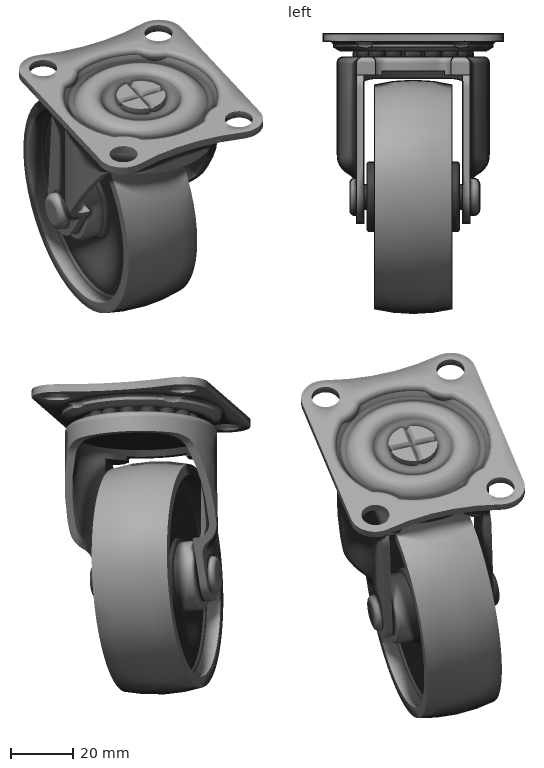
import cadquery as cq
import math

SHEET = 2.4

WHEEL_RADIUS = 37.5
WHEEL_EDGE_RADIUS = 36.0
WHEEL_WIDTH = 25.0
WHEEL_TRAIL = 21.0
RIM_RADIUS = 32.5
RECESS_FILLET = 0.9
RECESS_DEPTH = 5.4
HUB_RADIUS = 11.2
HUB_WIDTH = 29.8
HUB_ROOT_FILLET = 1.3
HUB_EDGE_ROUND = 1.0
AXLE_RADIUS = 4.0
AXLE_HEAD_RADIUS = 6.0
FRONT_HEAD_HEIGHT = 3.15
FRONT_HEAD_ROUND = 2.1
BACK_HEAD_HEIGHT = 2.15
BACK_HEAD_ROUND = 1.7
AXLE_Z = WHEEL_RADIUS

TOP_Z = 90.0
PLATE_LENGTH = 70.0
PLATE_WIDTH = 58.0
PLATE_THICKNESS = 2.5
PLATE_BOTTOM_Z = TOP_Z - PLATE_THICKNESS
PLATE_CORNER_RADIUS = 8.0
WAIST_DEPTH = 2.9
BOLT_HOLE_DIAMETER = 9.0
BOLT_X = 27.5
BOLT_Y = 21.0
DISH_RADIUS = 26.5
DISH_DEPTH = 3.15
RIDGE_DROP = 0.4
GROOVE_OUTER_RADIUS = 23.3
GROOVE_INNER_RADIUS = 21.7
RACE_OUTER_RADIUS = 19.1
RACE_INNER_RADIUS = 12.85
RACE_SHOULDER = 0.8
CREST_OUTER_RADIUS = 16.5
CREST_INNER_RADIUS = 15.4
RACE_OUTER_BEND = (1.2, 0.2)
RACE_INNER_BEND = (1.6, 0.6)
FLOOR_BEND = (0.8, 0.2)
BOSS_BEVEL = 1.4
FLOOR_RADIUS = 11.4
FLOOR_DEPTH = 2.8
BOLT_CLEARANCE_RADIUS = 9.5
DISH_CORNER_ROUND = 2.5
RIM_ROUND = 1.8
RIM_LAND = 0.05
RIM_STEP = 0.8

PIN_HEAD_RADIUS = 7.85
PIN_HEAD_HEIGHT = 2.3
PIN_SHANK_RADIUS = 5.0
GROOVE_WIDTH = 2.4
GROOVE_DEPTH = 1.2
NOTCH_DEPTH = 1.0
NOTCH_ROUND = 1.5

FORK_TOP_Z = 82.5
DRUM_RADIUS = 24.5
LEG_HALF_WIDTH = 18.25
LEG_TOP_X = -25.2
LEG_END_RADIUS = 8.5
LEG_SLOPE = math.radians(56.5)
SKIRT_BOTTOM_Z = 75.6
SKIRT_BLEND_RADIUS = 9.0
LEG_SHOULDER_Z = 76.6
LEG_NECK_X = -26.7
LEG_NECK_Z = 71.8
LEG_NECK_BEND = (-26.2, 74.6)
LEG_BLEND_RADIUS = 5.0
BLOCK_END_X = 8.0
CROWN_ROUND = 2.0
BULGE_END_Z = 50.3
BULGE_ROUND = 6.5
TAB_INNER_Y = 12.4
TAB_BLEND_RADIUS = 3.5
TAB_BOTTOM_Z = 76.6
LIP_BOTTOM_Z = 77.9
LIP_HALF_WIDTH = 10.0
BALL_COUNT = 16
BALL_RADIUS = 2.75
BALL_CIRCLE_RADIUS = 16.6
BALL_Z = 83.35


def cylinder_y(radius, y_start, y_end):
    """Cylinder on the wheel axis between two Y positions."""
    plane = cq.Plane((-WHEEL_TRAIL, y_start, AXLE_Z), xDir=(1, 0, 0), normal=(0, 1, 0))
    return cq.Workplane(plane).circle(radius).extrude(y_end - y_start)


def spin(profile):
    """Revolve a closed radius-height profile about the swivel axis."""
    return profile.close().revolve(360, (0, 0, 0), (0, 1, 0))


def box_between(x_range, half_width, z_range):
    """Box centred on y = 0 that spans the given X and Z ranges."""
    length = x_range[1] - x_range[0]
    height = z_range[1] - z_range[0]
    corner = (x_range[0], -half_width, z_range[0])
    return cq.Workplane().box(length, 2 * half_width, height, centered=False).translate(corner)


def plate_blank():
    """Flat plate with round corners and inward curved short sides."""
    half_length = PLATE_LENGTH / 2
    half_width = PLATE_WIDTH / 2
    corner_x = half_length - PLATE_CORNER_RADIUS
    corner_y = half_width - PLATE_CORNER_RADIUS
    waist_x = half_length - WAIST_DEPTH
    offset = waist_x - corner_x
    waist_radius = (offset**2 + corner_y**2 - PLATE_CORNER_RADIUS**2) / (2 * (PLATE_CORNER_RADIUS - offset))
    share = PLATE_CORNER_RADIUS / (waist_radius + PLATE_CORNER_RADIUS)
    join_x = corner_x + share * (waist_x + waist_radius - corner_x)
    join_y = corner_y * (1 - share)
    outline = (
        cq.Workplane("XY", origin=(0, 0, PLATE_BOTTOM_Z))
        .moveTo(-corner_x, half_width)
        .lineTo(corner_x, half_width)
        .radiusArc((join_x, join_y), PLATE_CORNER_RADIUS)
        .threePointArc((waist_x, 0), (join_x, -join_y))
        .radiusArc((corner_x, -half_width), PLATE_CORNER_RADIUS)
        .lineTo(-corner_x, -half_width)
        .radiusArc((-join_x, -join_y), PLATE_CORNER_RADIUS)
        .threePointArc((-waist_x, 0), (-join_x, join_y))
        .radiusArc((-corner_x, half_width), PLATE_CORNER_RADIUS)
        .close()
    )
    return outline.extrude(PLATE_THICKNESS)


def bolt_points():
    """Centres of the four bolt holes."""
    return [(sx * BOLT_X, sy * BOLT_Y) for sx in (-1, 1) for sy in (-1, 1)]


def dish_column(inset):
    """Column shaped like the dish rim, hollowed around each bolt hole, moved inwards by inset."""
    base = cq.Workplane("XY", origin=(0, 0, PLATE_BOTTOM_Z - DISH_DEPTH))
    height = PLATE_THICKNESS + DISH_DEPTH
    hollows = base.pushPoints(bolt_points()).circle(BOLT_CLEARANCE_RADIUS + inset).extrude(height)
    column = base.circle(DISH_RADIUS - inset).extrude(height).cut(hollows)
    return column.edges("|Z").fillet(DISH_CORNER_ROUND)


def dish_body(top_z, wall_points):
    """Pressed dish filled up to top_z; wall_points lead down from its rim to the groove."""
    groove_z = top_z - DISH_DEPTH
    floor_z = top_z - FLOOR_DEPTH
    ridge_z = top_z - RIDGE_DROP
    outer_hollow = (RACE_OUTER_RADIUS - RACE_OUTER_BEND[0], ridge_z - RACE_OUTER_BEND[1])
    inner_hollow = (CREST_INNER_RADIUS - RACE_INNER_BEND[0], ridge_z - RACE_INNER_BEND[1])
    floor_hollow = (FLOOR_RADIUS + FLOOR_BEND[0], floor_z + FLOOR_BEND[1])
    profile = cq.Workplane("XZ").moveTo(0, top_z).lineTo(DISH_RADIUS, top_z)
    for point in wall_points:
        profile = profile.lineTo(*point)
    profile = (
        profile.lineTo(GROOVE_OUTER_RADIUS, groove_z)
        .lineTo(GROOVE_INNER_RADIUS, groove_z)
        .lineTo(RACE_OUTER_RADIUS, ridge_z - RACE_SHOULDER)
        .threePointArc(outer_hollow, (CREST_OUTER_RADIUS, ridge_z))
        .lineTo(CREST_INNER_RADIUS, ridge_z)
        .threePointArc(inner_hollow, (RACE_INNER_RADIUS, floor_z + RACE_SHOULDER))
        .threePointArc(floor_hollow, (FLOOR_RADIUS, floor_z))
        .lineTo(0, floor_z)
    )
    return spin(profile)


def dish_boss():
    """Underside of the dish, bevelled at the plate and eased into the groove."""
    wall_radius = DISH_RADIUS - RIM_STEP
    groove_z = PLATE_BOTTOM_Z - DISH_DEPTH
    wall = [
        (wall_radius, PLATE_BOTTOM_Z - RIM_STEP),
        (wall_radius, groove_z + BOSS_BEVEL),
        (GROOVE_OUTER_RADIUS + BOSS_BEVEL / 2, groove_z + BOSS_BEVEL / 4),
    ]
    return dish_body(PLATE_BOTTOM_Z, wall).intersect(dish_column(0))


def dish_recess():
    """Hollow of the dish with a conical wall, still without the rounded rim."""
    wall_radius = DISH_RADIUS - RIM_ROUND
    wall = [(wall_radius, TOP_Z), (wall_radius, TOP_Z - RIM_ROUND - RIM_LAND)]
    return dish_body(TOP_Z, wall).intersect(dish_column(RIM_ROUND))


def mounting_plate():
    """Plate with the pressed dish, bolt holes and the kingpin hole."""
    bolt_holes = (
        cq.Workplane("XY", origin=(0, 0, PLATE_BOTTOM_Z))
        .pushPoints(bolt_points())
        .circle(BOLT_HOLE_DIAMETER / 2)
        .extrude(PLATE_THICKNESS)
    )
    pin_hole = cq.Workplane().circle(PIN_SHANK_RADIUS).extrude(TOP_Z)
    plate = plate_blank().union(dish_boss()).cut(dish_recess())
    above_ridge_z = TOP_Z - RIDGE_DROP / 2
    rim_edges = cq.selectors.BoxSelector(
        (-DISH_RADIUS, -DISH_RADIUS, above_ridge_z), (DISH_RADIUS, DISH_RADIUS, TOP_Z + RIDGE_DROP)
    )
    plate = plate.edges(rim_edges).fillet(RIM_ROUND)
    return plate.cut(bolt_holes).cut(pin_hole)


def kingpin():
    """Rivet with a four-lobed head and a crossed pair of V grooves."""
    seat_z = TOP_Z - FLOOR_DEPTH
    head_top_z = seat_z + PIN_HEAD_HEIGHT
    head = cq.Workplane("XY", origin=(0, 0, seat_z)).circle(PIN_HEAD_RADIUS).extrude(PIN_HEAD_HEIGHT)
    notch_side = 2 * NOTCH_DEPTH / math.sqrt(2)
    for angle in range(0, 360, 90):
        notch = (
            cq.Workplane("XY", origin=(0, 0, seat_z))
            .rect(notch_side, notch_side)
            .extrude(PIN_HEAD_HEIGHT)
            .rotate((0, 0, 0), (0, 0, 1), 45)
            .translate((PIN_HEAD_RADIUS, 0, 0))
            .rotate((0, 0, 0), (0, 0, 1), angle)
        )
        head = head.cut(notch)
    lobe_corners = head.edges("|Z").filter(lambda edge: abs(edge.Center().x * edge.Center().y) > NOTCH_DEPTH)
    head = lobe_corners.fillet(NOTCH_ROUND)
    for angle in (0, 90):
        groove = (
            cq.Workplane("XZ", origin=(0, PIN_HEAD_RADIUS, head_top_z))
            .moveTo(-GROOVE_WIDTH / 2, 0)
            .lineTo(0, -GROOVE_DEPTH)
            .lineTo(GROOVE_WIDTH / 2, 0)
            .close()
            .extrude(2 * PIN_HEAD_RADIUS)
            .rotate((0, 0, 0), (0, 0, 1), angle)
        )
        head = head.cut(groove)
    shank_bottom_z = FORK_TOP_Z - SHEET
    shank = (
        cq.Workplane("XY", origin=(0, 0, shank_bottom_z))
        .circle(PIN_SHANK_RADIUS)
        .extrude(seat_z - shank_bottom_z)
    )
    return head.union(shank)


def drum(wall):
    """Round crown with its closing-in lower end, offset inwards by wall."""
    radius = DRUM_RADIUS - wall
    round_radius = BULGE_ROUND - wall
    bottom_z = BULGE_END_Z - round_radius
    profile = (
        cq.Workplane("XZ")
        .moveTo(0, FORK_TOP_Z - wall)
        .lineTo(radius, FORK_TOP_Z - wall)
        .lineTo(radius, BULGE_END_Z)
        .radiusArc((radius - round_radius, bottom_z), round_radius)
        .lineTo(0, bottom_z)
    )
    return spin(profile)


def side_outline():
    """Side shape of the fork: round leg ends, sloping edge, skirt and stepped rear edge."""
    sin_slope = math.sin(LEG_SLOPE)
    cos_slope = math.cos(LEG_SLOPE)
    tangent_x = -WHEEL_TRAIL + LEG_END_RADIUS * sin_slope
    tangent_z = AXLE_Z - LEG_END_RADIUS * cos_slope
    meet_x = tangent_x + (SKIRT_BOTTOM_Z - tangent_z) / math.tan(LEG_SLOPE)
    blend = SKIRT_BLEND_RADIUS * math.tan(LEG_SLOPE / 2)
    rear_x = -WHEEL_TRAIL - LEG_END_RADIUS
    return (
        cq.Workplane("XZ", origin=(0, DRUM_RADIUS, 0))
        .moveTo(LEG_TOP_X, FORK_TOP_Z)
        .lineTo(DRUM_RADIUS, FORK_TOP_Z)
        .lineTo(DRUM_RADIUS, SKIRT_BOTTOM_Z)
        .lineTo(meet_x + blend, SKIRT_BOTTOM_Z)
        .radiusArc((meet_x - blend * cos_slope, SKIRT_BOTTOM_Z - blend * sin_slope), -SKIRT_BLEND_RADIUS)
        .lineTo(tangent_x, tangent_z)
        .threePointArc((-WHEEL_TRAIL, AXLE_Z - LEG_END_RADIUS), (rear_x, AXLE_Z))
        .lineTo(LEG_NECK_X, LEG_NECK_Z)
        .threePointArc(LEG_NECK_BEND, (LEG_TOP_X, LEG_SHOULDER_Z))
        .close()
        .extrude(2 * DRUM_RADIUS)
    )


def fork_ball(index):
    """Bead of the ball race, raised on the crown."""
    angle = 2 * math.pi * index / BALL_COUNT
    centre = (BALL_CIRCLE_RADIUS * math.cos(angle), BALL_CIRCLE_RADIUS * math.sin(angle), BALL_Z)
    return cq.Workplane().sphere(BALL_RADIUS).translate(centre)


def concave_corners(x, y, z_range):
    """Selector for the upright inside corners at a given X on both sides."""
    reach = 0.5
    left, right = [
        cq.selectors.BoxSelector((x - reach, side - reach, z_range[0]), (x + reach, side + reach, z_range[1]))
        for side in (y, -y)
    ]
    return left + right


def fork_blank():
    """Solid crown, legs and bulged sides before hollowing."""
    leg_bottom_z = AXLE_Z - LEG_END_RADIUS
    rear_x = -WHEEL_TRAIL - LEG_END_RADIUS
    block = box_between((rear_x, BLOCK_END_X), LEG_HALF_WIDTH, (leg_bottom_z, FORK_TOP_Z))
    recess = box_between((rear_x, 0), TAB_INNER_Y, (leg_bottom_z, FORK_TOP_Z))
    blank = drum(0).union(block.cut(recess))
    leg_corner_x = -math.sqrt(DRUM_RADIUS**2 - LEG_HALF_WIDTH**2)
    tab_corner_x = -math.sqrt(DRUM_RADIUS**2 - TAB_INNER_Y**2)
    z_range = (BULGE_END_Z, FORK_TOP_Z)
    blank = blank.edges(concave_corners(leg_corner_x, LEG_HALF_WIDTH, z_range)).fillet(LEG_BLEND_RADIUS)
    blank = blank.edges(concave_corners(tab_corner_x, TAB_INNER_Y, z_range)).fillet(TAB_BLEND_RADIUS)
    blank = blank.intersect(side_outline())
    return blank.faces(">Z").edges().fillet(CROWN_ROUND)


def fork():
    """Pressed fork with its ring of beads, bored for the kingpin and the axle."""
    rear_x = -WHEEL_TRAIL - LEG_END_RADIUS
    leg_bottom_z = AXLE_Z - LEG_END_RADIUS
    inner_half_width = LEG_HALF_WIDTH - SHEET
    cavity = box_between((rear_x, 0), inner_half_width, (leg_bottom_z, TAB_BOTTOM_Z))
    lip_notch = box_between((rear_x, 0), LIP_HALF_WIDTH, (leg_bottom_z, LIP_BOTTOM_Z))
    body = fork_blank().cut(drum(SHEET)).cut(cavity).cut(lip_notch)
    for index in range(BALL_COUNT):
        body = body.union(fork_ball(index))
    pin_hole = cq.Workplane().circle(PIN_SHANK_RADIUS).extrude(TOP_Z)
    axle_hole = cylinder_y(AXLE_RADIUS, -DRUM_RADIUS, DRUM_RADIUS)
    return body.cut(pin_hole).cut(axle_hole)


def wheel():
    """Crowned wheel with a recess on both sides and a through hub."""
    half_width = WHEEL_WIDTH / 2
    half_hub = HUB_WIDTH / 2
    floor = half_width - RECESS_DEPTH
    profile = (
        cq.Workplane("XY")
        .moveTo(AXLE_RADIUS, -half_hub)
        .lineTo(HUB_RADIUS - HUB_EDGE_ROUND, -half_hub)
        .radiusArc((HUB_RADIUS, -half_hub + HUB_EDGE_ROUND), -HUB_EDGE_ROUND)
        .lineTo(HUB_RADIUS, -floor - HUB_ROOT_FILLET)
        .radiusArc((HUB_RADIUS + HUB_ROOT_FILLET, -floor), -HUB_ROOT_FILLET)
        .lineTo(RIM_RADIUS - RECESS_FILLET, -floor)
        .radiusArc((RIM_RADIUS, -floor - RECESS_FILLET), -RECESS_FILLET)
        .lineTo(RIM_RADIUS, -half_width)
        .lineTo(WHEEL_EDGE_RADIUS, -half_width)
        .threePointArc((WHEEL_RADIUS, 0), (WHEEL_EDGE_RADIUS, half_width))
        .lineTo(RIM_RADIUS, half_width)
        .lineTo(RIM_RADIUS, floor + RECESS_FILLET)
        .radiusArc((RIM_RADIUS - RECESS_FILLET, floor), -RECESS_FILLET)
        .lineTo(HUB_RADIUS + HUB_ROOT_FILLET, floor)
        .radiusArc((HUB_RADIUS, floor + HUB_ROOT_FILLET), -HUB_ROOT_FILLET)
        .lineTo(HUB_RADIUS, half_hub - HUB_EDGE_ROUND)
        .radiusArc((HUB_RADIUS - HUB_EDGE_ROUND, half_hub), -HUB_EDGE_ROUND)
        .lineTo(AXLE_RADIUS, half_hub)
        .close()
    )
    return profile.revolve(360, (0, 0, 0), (0, 1, 0)).translate((-WHEEL_TRAIL, 0, AXLE_Z))


def axle():
    """Riveted axle: the two heads clamp the outer faces of the legs."""
    shank = cylinder_y(AXLE_RADIUS, -LEG_HALF_WIDTH, LEG_HALF_WIDTH)
    front_head = cylinder_y(AXLE_HEAD_RADIUS, -LEG_HALF_WIDTH - FRONT_HEAD_HEIGHT, -LEG_HALF_WIDTH)
    back_head = cylinder_y(AXLE_HEAD_RADIUS, LEG_HALF_WIDTH, LEG_HALF_WIDTH + BACK_HEAD_HEIGHT)
    front_head = front_head.faces("<Y").edges().fillet(FRONT_HEAD_ROUND)
    back_head = back_head.faces(">Y").edges().fillet(BACK_HEAD_ROUND)
    return shank.union(front_head).union(back_head)


result = cq.Compound.makeCompound(
    [body.solids().val() for body in (mounting_plate(), kingpin(), fork(), wheel(), axle())]
)